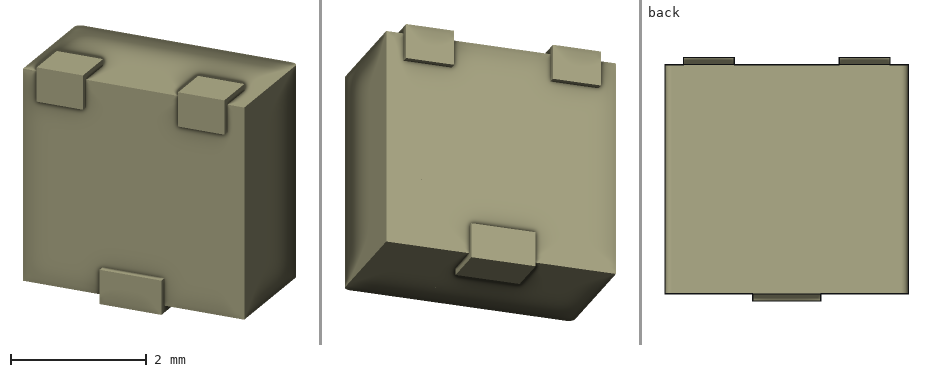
import cadquery as cq

width = 3.6
total_height = 3.6
total_depth = 2.0

plate = 0.108
foot_length = 0.702
front_length = 0.547
upper_terminal_width = 0.752
lower_terminal_width = 1.005
upper_terminal_pitch = 2.3

body_height = total_height - 2 * plate
back_depth = 0.515
corner_radius = 0.1
block_height = 1.08
rib_height = body_height - 2 * block_height

front_y = -total_depth / 2
body_front_y = front_y + plate
back_y = total_depth / 2
block_depth = back_y - back_depth - body_front_y
block_y = body_front_y + block_depth / 2

web_width = width / 2
web_depth = block_depth / 2


def make_filler():
    """Upper and lower blocks joined by the web into one solid."""
    filler = cq.Workplane().box(web_width, web_depth, rib_height).translate((0, block_y, 0))
    for side in (-1, 1):
        block_z = side * (rib_height + block_height) / 2
        block = cq.Workplane().box(width, block_depth, block_height)
        filler = filler.union(block.translate((0, block_y, block_z)))
    return filler


def make_housing(filler):
    """Full block with rounded back edges, cut to fit around the filler."""
    body_depth = total_depth - plate
    body = cq.Workplane().box(width, body_depth, body_height)
    body = body.edges("|Z and >Y").fillet(corner_radius)
    return body.translate((0, plate / 2, 0)).cut(filler)


def make_terminal(terminal_width, center_x, side):
    """L-shaped strip on the upper (side = 1) or lower (side = -1) front edge."""
    outer_z = side * total_height / 2
    inner_z = outer_z - side * plate
    foot_end_y = front_y + foot_length
    profile = [
        (front_y, outer_z),
        (foot_end_y, outer_z),
        (foot_end_y, inner_z),
        (body_front_y, inner_z),
        (body_front_y, outer_z - side * front_length),
        (front_y, outer_z - side * front_length),
    ]
    strip = cq.Workplane("YZ").polyline(profile).close().extrude(terminal_width / 2, both=True)
    return strip.translate((center_x, 0, 0))


filler = make_filler()
housing = make_housing(filler)
lower_terminal = make_terminal(lower_terminal_width, 0, -1)
upper_terminals = [
    make_terminal(upper_terminal_width, side * upper_terminal_pitch / 2, 1)
    for side in (-1, 1)
]

result = cq.Compound.makeCompound([
    housing.val(),
    filler.val(),
    lower_terminal.val(),
    *[terminal.val() for terminal in upper_terminals],
])